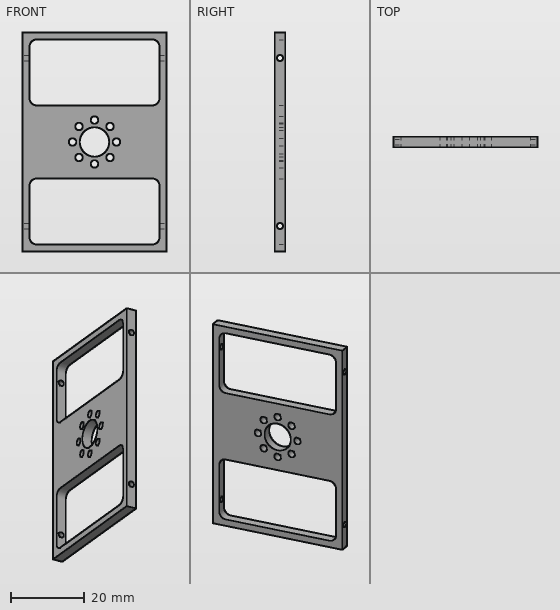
import cadquery as cq

width = 39.5
thickness = 3.0
height = 60.0

rim = 2.0
window_height = 18.0
window_corner_radius = 2.0
window_width = width - 2 * rim
window_offset = height / 2 - rim - window_height / 2

bore_diameter = 8.0
bolt_hole_diameter = 2.0
bolt_circle_radius = 6.0
bolt_hole_count = 8

side_hole_diameter = 1.6
side_hole_offset = 23.0


def front_face():
    """Sketch plane on the front face, centred on the plate, with its normal along -Y."""
    return cq.Workplane("XZ", origin=(0, -thickness / 2, 0))


plate = cq.Workplane("XY").box(width, thickness, height)

windows = (
    front_face()
    .pushPoints([(0, window_offset), (0, -window_offset)])
    .rect(window_width, window_height)
    .extrude(-thickness)
    .edges("|Y")
    .fillet(window_corner_radius)
)

bore = front_face().circle(bore_diameter / 2).extrude(-thickness)

bolt_holes = (
    front_face()
    .polarArray(bolt_circle_radius, 0, 360, bolt_hole_count)
    .circle(bolt_hole_diameter / 2)
    .extrude(-thickness)
)

side_holes = (
    cq.Workplane("YZ", origin=(-width / 2, 0, 0))
    .pushPoints([(0, side_hole_offset), (0, -side_hole_offset)])
    .circle(side_hole_diameter / 2)
    .extrude(width)
)

result = plate.cut(windows).cut(bore).cut(bolt_holes).cut(side_holes)